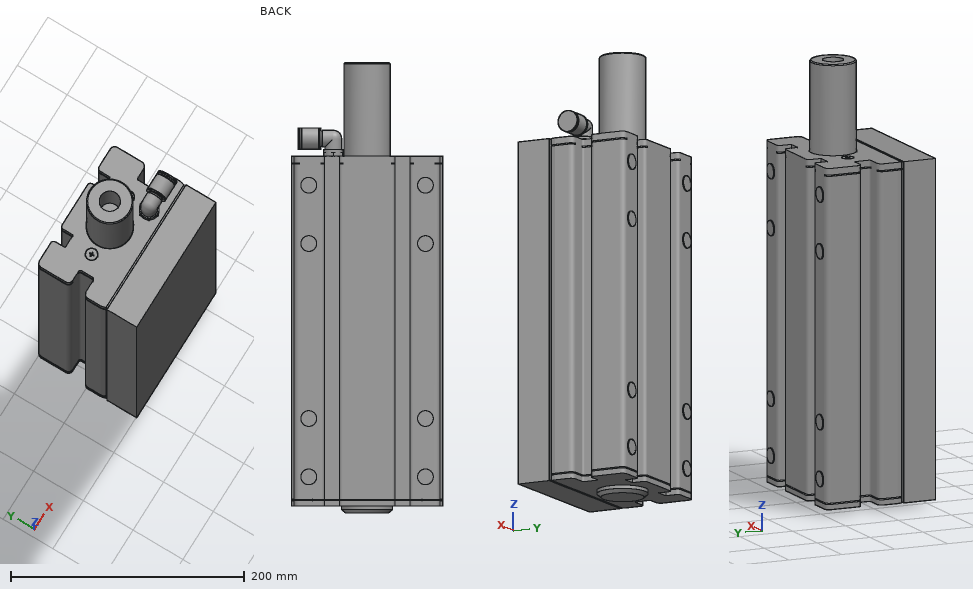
import cadquery as cq
import math

housing_length = 300.0
overlap = 1.0

slab_half_width = 62.5
slab_top = 35.0
slab_bottom = 1.4
web_half_width = 47.0
flange_half_width = 65.0
flange_top = -13.5
flange_taper_start = -31.0
flange_bottom = -35.4
flange_foot_half_width = 64.0
slab_corner_radius = 4.5
flange_corner_radius = 4.5
side_slot_radius = 1.8

groove_width = 13.0
groove_center = 30.2
groove_depth = 12.8
groove_mouth_radius = 3.0

gasket_thickness = 1.1
top_plate_thickness = 5.8
bottom_plate_thickness = 4.7
gasket_offset = 0.25

plate_width = 130.0
plate_outer = -67.0
plate_inner = -37.0
spacer_setback = 0.5

rod_y = -0.2
rod_diameter = 40.0
rod_projection = 80.0
rod_chamfer = 1.0
rod_seal_diameter = 41.0
rod_seal_depth = 2.0
rod_bore_diameter = 18.0
rod_bore_depth = 40.0

boss_diameter = 44.0
boss_tip_diameter = 37.0
boss_height = 6.0
boss_straight_height = 3.0

screw_center = 30.0
screw_head_diameter = 11.0
screw_cross_length = 4.0
screw_cross_width = 0.8
screw_ring_width = 0.3
screw_depth = 3.0

plug_diameter = 13.5
plug_height = 1.0
plug_x = 50.0
plug_levels = (25.0, 75.0, 225.0, 275.0)

fitting_x = 29.0
fitting_y = -22.0
fitting_hex_flats = 16.0
fitting_hex_height = 3.2
fitting_seat_diameter = 17.0
fitting_seat_height = 5.5
fitting_tube_diameter = 14.6
fitting_axis_height = 14.9
fitting_neck_length = 9.2
fitting_collar_start = 10.7
fitting_throat_diameter = 13.2
fitting_collar_diameter = 18.5
fitting_groove_diameter = 18.1
collar_front_band = 1.2
collar_main_band = 14.3
collar_rear_band = 1.2
collar_groove_width = 0.6


def box_between(x0, x1, y0, y1, z0, z1):
    """Box given by its limits along each axis."""
    return cq.Workplane("XY").box(x1 - x0, y1 - y0, z1 - z0, centered=False).translate((x0, y0, z0))


def cylinder_up(diameter, height, x, y, z):
    """Vertical cylinder standing on level z."""
    return cq.Workplane("XY", origin=(x, y, z)).circle(diameter / 2).extrude(height)


def at_points(shape, points):
    """Edges parallel to Z that pass through the given (x, y) points."""
    tolerance = 0.01
    picked = []
    for edge in shape.edges("|Z").vals():
        center = edge.Center()
        if any(math.hypot(center.x - x, center.y - y) < tolerance for x, y in points):
            picked.append(edge)
    return shape.newObject(picked)


def mirrored(points):
    """The points together with their mirror images in X."""
    return [(side * x, y) for x, y in points for side in (1, -1)]


def profile(z0, height, inset=0.0):
    """Length of the housing section, standing on level z0, its outline drawn in by the inset."""
    half_outline = [
        (slab_half_width, slab_top),
        (slab_half_width, slab_bottom),
        (web_half_width, slab_bottom),
        (web_half_width, flange_top),
        (flange_half_width, flange_top),
        (flange_half_width, flange_taper_start),
        (flange_foot_half_width, flange_bottom),
    ]
    other_half = [(-x, y) for x, y in reversed(half_outline)]
    section = cq.Workplane("XY").polyline(half_outline + other_half).close().extrude(height)

    groove_inner = groove_center - groove_width / 2
    groove_outer = groove_center + groove_width / 2
    for x0, x1 in ((groove_inner, groove_outer), (-groove_outer, -groove_inner)):
        section = section.cut(box_between(x0, x1, slab_top - groove_depth, slab_top + overlap, 0, height))

    rounded_corners = (
        (slab_corner_radius, half_outline[0:2]),
        (side_slot_radius, half_outline[2:4]),
        (flange_corner_radius, half_outline[4:5]),
        (groove_mouth_radius, [(groove_inner, slab_top), (groove_outer, slab_top)]),
    )
    for radius, corners in rounded_corners:
        section = at_points(section, mirrored(corners)).fillet(radius)
    if inset:
        section = section.faces("<Z").wires().toPending().offset2D(-inset).extrude(-height, combine=False)
    return section.translate((0, 0, z0))


def housing():
    """Housing with end plates; the upper gasket is shifted sideways and the lower one is set back."""
    top_gasket_z = housing_length - top_plate_thickness - gasket_thickness
    body_z = bottom_plate_thickness + gasket_thickness
    body = profile(0, bottom_plate_thickness)
    body = body.union(profile(bottom_plate_thickness, gasket_thickness, gasket_offset))
    body = body.union(profile(body_z, top_gasket_z - body_z))
    body = body.union(profile(top_gasket_z, gasket_thickness).translate((-gasket_offset, 0, 0)))
    return body.union(profile(top_gasket_z + gasket_thickness, top_plate_thickness))


def mounting_plate():
    plate = box_between(-plate_width / 2, plate_width / 2, plate_outer, plate_inner, 0, housing_length)
    spacer_half_width = flange_foot_half_width - spacer_setback
    spacer = box_between(
        -spacer_half_width,
        spacer_half_width,
        plate_inner - overlap,
        flange_bottom + overlap,
        spacer_setback,
        housing_length - spacer_setback,
    )
    return plate.union(spacer)


def rod():
    foot_z = housing_length - rod_seal_depth
    bar = cylinder_up(rod_diameter, rod_projection + rod_seal_depth, 0, rod_y, foot_z)
    bar = bar.faces(">Z").chamfer(rod_chamfer)
    bore_z = housing_length + rod_projection - rod_bore_depth
    return bar.cut(cylinder_up(rod_bore_diameter, rod_bore_depth, 0, rod_y, bore_z))


def rod_seal_recess():
    """Narrow annular gap around the rod where it leaves the end plate."""
    z = housing_length - rod_seal_depth
    gap = cylinder_up(rod_seal_diameter, rod_seal_depth, 0, rod_y, z)
    return gap.cut(cylinder_up(rod_diameter, rod_seal_depth, 0, rod_y, z))


def boss():
    half_section = [
        (0, overlap),
        (boss_diameter / 2, overlap),
        (boss_diameter / 2, -boss_straight_height),
        (boss_tip_diameter / 2, -boss_height),
        (0, -boss_height),
    ]
    axis_plane = cq.Workplane("XZ", origin=(0, rod_y, 0))
    return axis_plane.polyline(half_section).close().revolve(360, (0, 0, 0), (0, 1, 0))


def screw_recess(x):
    """Fine ring around a screw head together with the head's cross recess."""
    z = housing_length - screw_depth
    ring = cylinder_up(screw_head_diameter, screw_depth, x, rod_y, z)
    ring = ring.cut(cylinder_up(screw_head_diameter - 2 * screw_ring_width, screw_depth, x, rod_y, z))
    for size in ((screw_cross_length, screw_cross_width), (screw_cross_width, screw_cross_length)):
        ring = ring.union(cq.Workplane("XY", origin=(x, rod_y, z)).rect(*size).extrude(screw_depth))
    return ring


def plug(x, z):
    outer_end = cq.Workplane("XZ", origin=(x, slab_top + plug_height, z))
    return outer_end.circle(plug_diameter / 2).extrude(plug_height + overlap)


def elbow_fitting():
    axis_z = housing_length + fitting_axis_height

    def outlet(diameter, x0, x1):
        return cq.Workplane("YZ", origin=(x0, fitting_y, axis_z)).circle(diameter / 2).extrude(x1 - x0)

    hex_start = cq.Workplane("XY", origin=(fitting_x, fitting_y, housing_length - overlap))
    hex_corner_diameter = fitting_hex_flats / math.cos(math.pi / 6)
    hexagon = hex_start.transformed(rotate=(0, 0, 90)).polygon(6, hex_corner_diameter)
    fitting = hexagon.extrude(fitting_hex_height + overlap)
    fitting = fitting.union(
        cylinder_up(fitting_seat_diameter, fitting_seat_height, fitting_x, fitting_y, housing_length)
    )
    fitting = fitting.union(
        cylinder_up(fitting_tube_diameter, fitting_axis_height, fitting_x, fitting_y, housing_length)
    )
    knuckle = cq.Workplane("XY", origin=(fitting_x, fitting_y, axis_z)).sphere(fitting_tube_diameter / 2)
    fitting = fitting.union(knuckle)
    collar_x = fitting_x + fitting_collar_start
    fitting = fitting.union(outlet(fitting_tube_diameter, fitting_x, fitting_x + fitting_neck_length))
    fitting = fitting.union(outlet(fitting_throat_diameter, fitting_x, collar_x + overlap))
    band_x = collar_x
    for band in (collar_front_band, collar_main_band, collar_rear_band, collar_rear_band):
        fitting = fitting.union(outlet(fitting_collar_diameter, band_x, band_x + band))
        band_x += band + collar_groove_width
    core_end = band_x - collar_groove_width - collar_rear_band
    fitting = fitting.union(outlet(fitting_groove_diameter, collar_x, core_end))
    return fitting


result = housing().cut(rod_seal_recess())
for piece in (mounting_plate(), rod(), boss(), elbow_fitting()):
    result = result.union(piece)
for side in (1, -1):
    result = result.cut(screw_recess(side * screw_center))
    for level in plug_levels:
        result = result.union(plug(side * plug_x, level))